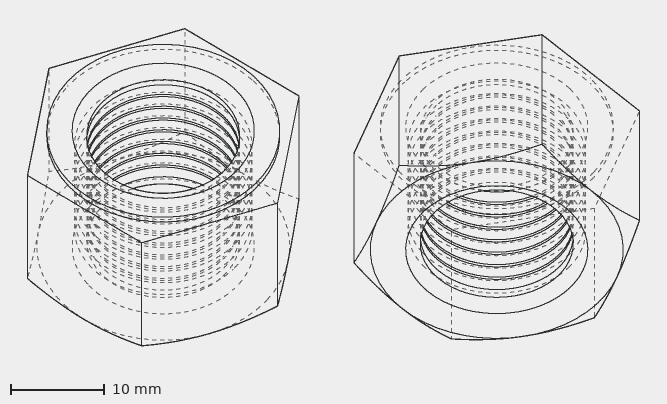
import cadquery as cq
import math

across_corners = 31.18
across_flats = across_corners * math.cos(math.radians(30))
total_height = 18.4
collar_height = 0.78
collar_diameter = 24.88
body_height = total_height - collar_height

corner_angle = 30.0

bore_radius = 8.17
countersink_radius = 9.73
flank_angle = 30.0
groove_count = 8
groove_pitch = 1.87
crest_width = 0.35
top_crest_width = 0.8
flank_slope = math.tan(math.radians(flank_angle))
countersink_depth = (countersink_radius - bore_radius) * flank_slope
groove_width = groove_pitch - crest_width
groove_depth = groove_width / 2 / flank_slope


def make_body():
    """Hexagonal prism with its lower corners trimmed by a cone."""
    prism = cq.Workplane("XY").polygon(6, across_corners).extrude(body_height)
    flat_radius = across_flats / 2
    corner_radius = across_corners / 2
    trim_height = (corner_radius - flat_radius) * math.tan(math.radians(corner_angle))
    envelope = (
        cq.Workplane("XZ")
        .polyline([
            (0, 0),
            (flat_radius, 0),
            (corner_radius, trim_height),
            (corner_radius, body_height),
            (0, body_height),
        ])
        .close()
        .revolve(360, (0, 0), (0, 1))
    )
    return prism.intersect(envelope)


def make_collar():
    return (
        cq.Workplane("XY", origin=(0, 0, body_height))
        .circle(collar_diameter / 2)
        .extrude(collar_height)
    )


def make_threaded_bore():
    """Solid of the hole: countersinks, crests and V-shaped grooves."""
    thread_length = groove_count * groove_pitch - crest_width
    first_groove = total_height - countersink_depth - top_crest_width - thread_length
    profile = [(0, 0), (countersink_radius, 0), (bore_radius, countersink_depth)]
    for index in range(groove_count):
        start = first_groove + index * groove_pitch
        profile += [
            (bore_radius, start),
            (bore_radius + groove_depth, start + groove_width / 2),
            (bore_radius, start + groove_width),
        ]
    profile += [
        (bore_radius, total_height - countersink_depth),
        (countersink_radius, total_height),
        (0, total_height),
    ]
    return cq.Workplane("XZ").polyline(profile).close().revolve(360, (0, 0), (0, 1))


result = make_body().union(make_collar()).cut(make_threaded_bore())